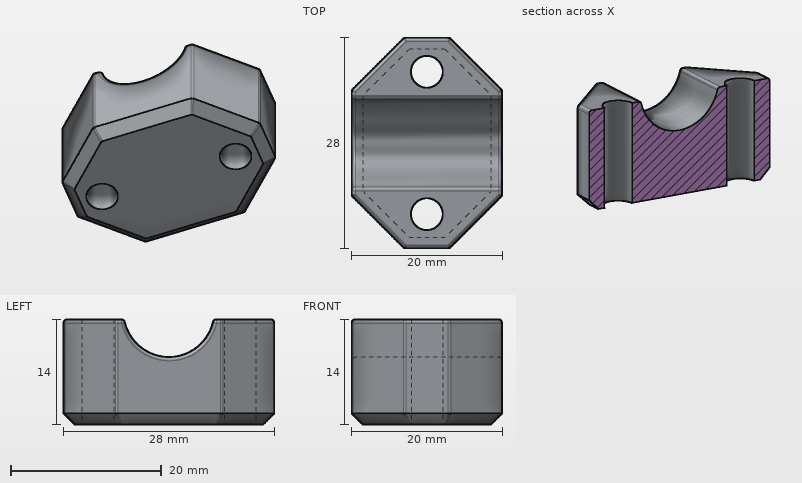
import cadquery as cq


width = 20.0
length = 28.0
height = 14.0
corner_cut = 7.0
base_chamfer = 1.5
edge_radius = 0.5

channel_radius = 6.0
channel_depth = 5.0
channel_axis_height = height - channel_depth + channel_radius

hole_diameter = 4.2
hole_spacing = 18.9


def make_block():
    """Octagonal block with a beveled bottom face."""
    block = cq.Workplane("XY").box(width, length, height, centered=(True, True, False))
    return block.edges("|Z").chamfer(corner_cut).faces("<Z").chamfer(base_chamfer)


def cut_channel(body):
    """Open round channel over the full width."""
    channel = (
        cq.Workplane("YZ")
        .center(0, channel_axis_height)
        .circle(channel_radius)
        .extrude(width / 2, both=True)
    )
    return body.cut(channel)


def edges_at_height(z):
    """Selector for edges whose midpoint lies at height z."""
    tolerance = 0.01
    return cq.selectors.BoxSelector(
        (-width, -length, z - tolerance),
        (width, length, z + tolerance),
    )


def round_edges(body):
    """Round all edges except the level ones bounding the bevel, which stay sharp."""
    sharp_edges = edges_at_height(0) + edges_at_height(base_chamfer)
    return body.edges(cq.selectors.InverseSelector(sharp_edges)).fillet(edge_radius)


def cut_screw_holes(body):
    """Vertical through holes, one on each side of the channel."""
    holes = (
        cq.Workplane("XY")
        .pushPoints([(0, -hole_spacing / 2), (0, hole_spacing / 2)])
        .circle(hole_diameter / 2)
        .extrude(height)
    )
    return body.cut(holes)


result = cut_screw_holes(round_edges(cut_channel(make_block())))